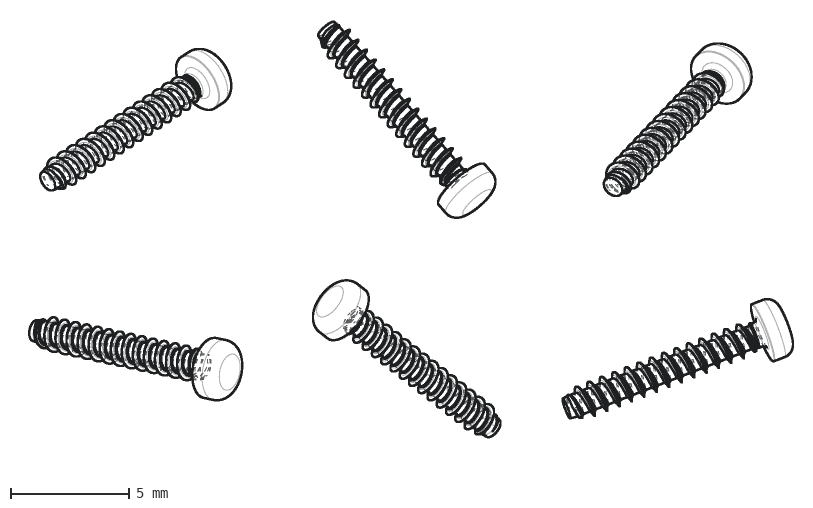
import cadquery as cq
length = 10.05

head_radius = 1.301
head_height = 1.05
head_round = 0.52
bearing_edge_round = 0.03

neck_radius = 0.54
neck_fillet = 0.2
neck_end = 1.41
core_radius = 0.48
core_start = neck_end + 0.06
tip_radius = 0.45
tip_taper_length = 0.25
tip_cone_height = 0.02

thread_radius = 0.72
first_crest = 1.64
last_crest = 9.62
turns = 14
pitch = (last_crest - first_crest) / turns
crest_half_width = 0.01
knee_radius = 0.58
knee_half_width = 0.06
foot_radius = 0.51
foot_reach = 0.11
root_radius = 0.43
head_side_reach = 0.26
tip_side_reach = 0.14

run_in_start = 1.36
run_in_radius = 0.56
run_in_end = 1.96
run_out_start = 9.33
envelope_clearance = 0.01
run_out_end = 9.93


seam_angle = 225


def revolve_on_axis(half_profile):
    body = half_profile.revolve(360, (0, 0, 0), (0, 1, 0))
    return body.rotate((0, 0, 0), (0, 0, 1), seam_angle)


def make_head():
    blank = cq.Workplane("XY").circle(head_radius).extrude(head_height)
    rounded = blank.faces("<Z").edges().fillet(head_round)
    return rounded.faces(">Z").edges().fillet(bearing_edge_round)


def make_shank():
    """Neck, underhead fillet, core and blunt conical tip as one revolved body."""
    half_profile = (
        cq.Workplane("XZ")
        .moveTo(0, head_height / 2)
        .lineTo(neck_radius + neck_fillet, head_height / 2)
        .lineTo(neck_radius + neck_fillet, head_height)
        .radiusArc((neck_radius, head_height + neck_fillet), neck_fillet)
        .lineTo(neck_radius, neck_end)
        .lineTo(core_radius, core_start)
        .lineTo(core_radius, length - tip_taper_length)
        .lineTo(tip_radius, length - tip_cone_height)
        .lineTo(0, length)
        .close()
    )
    return revolve_on_axis(half_profile)


def make_thread():
    """Right-hand ridge with a flared head-side foot, trimmed to fade at both ends."""
    ridge_start = first_crest - pitch
    path = cq.Wire.makeHelix(pitch, (turns + 2) * pitch, root_radius)
    path = path.translate(cq.Vector(0, 0, ridge_start))
    ridge_profile = [
        (root_radius, -head_side_reach),
        (foot_radius, -foot_reach),
        (knee_radius, -knee_half_width),
        (thread_radius, -crest_half_width),
        (thread_radius, crest_half_width),
        (knee_radius, knee_half_width),
        (root_radius, tip_side_reach),
    ]
    ridge = (
        cq.Workplane("XZ", origin=(0, 0, ridge_start))
        .polyline(ridge_profile)
        .close()
        .sweep(cq.Workplane(obj=path), isFrenet=True)
    )
    envelope_profile = (
        cq.Workplane("XZ")
        .polyline([
            (0, run_in_start),
            (run_in_radius, run_in_start),
            (thread_radius + envelope_clearance, run_in_end),
            (thread_radius + envelope_clearance, run_out_start),
            (root_radius, run_out_end),
            (0, run_out_end),
        ])
        .close()
    )
    return ridge.intersect(revolve_on_axis(envelope_profile))


screw = make_head().union(make_shank()).union(make_thread())

result = screw.rotate((0, 0, 0), (1, 0, 0), 90).translate((0, length / 2, 0))